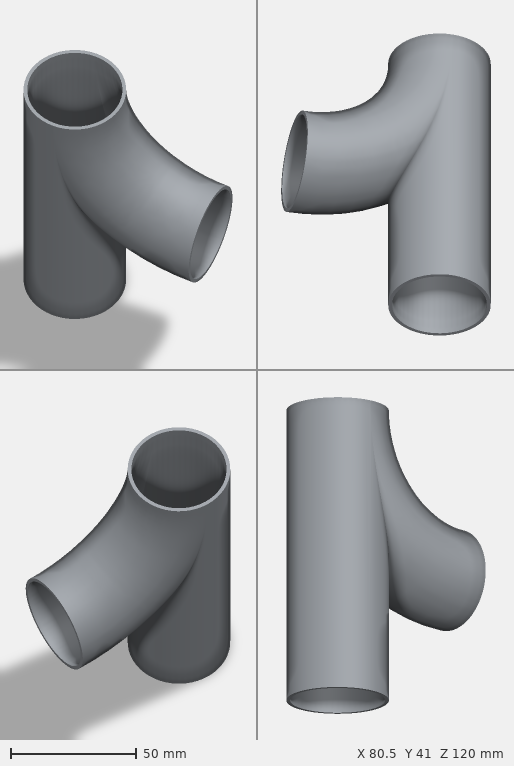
import cadquery as cq

outer_diameter = 41.0
bore_diameter = 38.0
run_length = 120.0
bend_radius = 60.0
bend_angle = 90.0


def straight_run(diameter):
    """Solid cylinder along Z, standing on the XY plane."""
    return cq.Workplane("XY").circle(diameter / 2).extrude(run_length)


def branch_bend(diameter):
    """Solid quarter bend from the top of the run, down and round to face +X."""
    top_plane = cq.Plane(origin=(0, 0, run_length), xDir=(-1, 0, 0), normal=(0, 0, 1))
    bend_axis_start = (-bend_radius, 0)
    bend_axis_end = (-bend_radius, 1)
    section = cq.Workplane(top_plane).circle(diameter / 2)
    return section.revolve(bend_angle, bend_axis_start, bend_axis_end)


def tee(diameter):
    """Run and branch of one diameter, joined."""
    return straight_run(diameter).union(branch_bend(diameter))


result = tee(outer_diameter).cut(tee(bore_diameter))